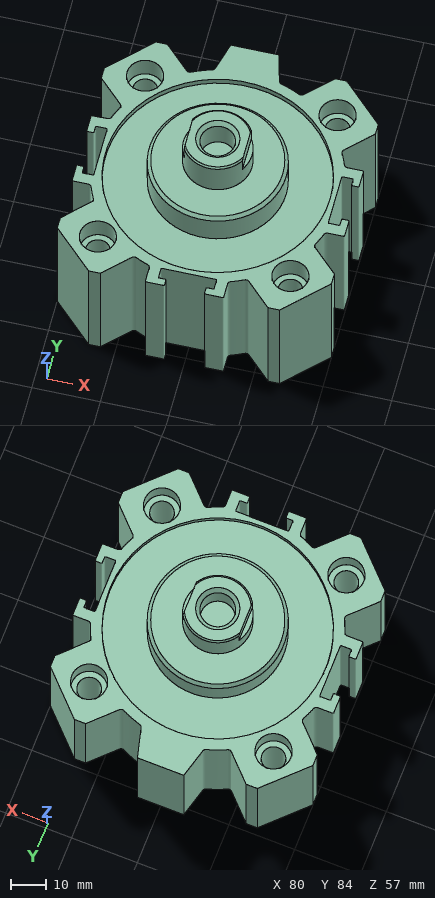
import cadquery as cq
import math

housing_height = 38.0
collar_top = 46.0
rod_top = 57.0

barrel_radius = 36.0
recess_diameter = 65.5
recess_depth = 2.0
foot_radius = 1.1

place_tolerance = 0.01

envelope_width = 80.0
lug_width = 22.0
lug_reach = 48.0
bolt_offset = 28.05
bolt_hole_diameter = 7.0
counterbore_diameter = 10.5
counterbore_depth = 7.0

rail_angles = [-90, 180, 0]
rail_reach = 39.7
rail_half_width = 11.4
slot_mouth_width = 11.7
slot_width = 16.2
slot_floor = 34.2
lip_thickness = 2.2
rail_corner_radius = 0.3

block_reach = 44.0
block_top_width = 14.1
block_side_angle = 15

collar_diameter = 40.0
collar_chamfer = 1.0

rod_diameter = 20.0
rod_chamfer = 0.5
flat_width = 17.0
flat_height = 4.8
thread_diameter = 10.1
thread_depth = 9.2
countersink_diameter = 12.5
countersink_angle = 90


def column(center_x, width_x, width_y, height=housing_height):
    """A box standing on the base, centred on the X axis."""
    return cq.Workplane("XY").center(center_x, 0).rect(width_x, width_y).extrude(height)


def turned(shape, angle):
    """The shape turned about the Z axis."""
    return shape.rotate((0, 0, 0), (0, 0, 1), angle)


def corner_lug(angle):
    """A bar along one diagonal, its end corners trimmed by the square envelope."""
    bar = turned(column(lug_reach / 2, lug_reach, lug_width), angle)
    return bar.intersect(column(0, envelope_width, envelope_width))


def rail_block():
    """The solid block that carries a T-slot, on the +X side."""
    return column(rail_reach / 2, rail_reach, 2 * rail_half_width)


def t_slot():
    """The space inside a T-slot on the +X side, open outward."""
    lip_floor = rail_reach - lip_thickness
    cavity = column((slot_floor + lip_floor) / 2, lip_floor - slot_floor, slot_width)
    cavity = cavity.edges("|Z").fillet(rail_corner_radius)
    mouth_length = rail_reach - slot_floor
    mouth = column(slot_floor + mouth_length / 2, mouth_length, slot_mouth_width)
    return cavity.union(mouth)


def lip_edges(solid, angle):
    """The upright edges at the three convex corners of each lip of one rail."""
    lip_floor = rail_reach - lip_thickness
    corners = [
        (lip_floor, slot_mouth_width / 2),
        (rail_reach, slot_mouth_width / 2),
        (rail_reach, rail_half_width),
    ]

    def on_lip_corner(edge):
        center = edge.rotate((0, 0, 0), (0, 0, 1), -angle).Center()
        return any(math.dist((center.x, abs(center.y)), corner) < place_tolerance for corner in corners)

    return solid.edges("|Z").filter(on_lip_corner)


def port_block():
    """The block on the +Y side, its sides spreading toward the barrel."""
    top = block_top_width / 2
    foot = top + block_reach * math.tan(math.radians(block_side_angle))
    outline = [(-top, block_reach), (top, block_reach), (foot, 0), (-foot, 0)]
    return cq.Workplane("XY").polyline(outline).close().extrude(housing_height)


def foot_edges(solid):
    """The upright edges where lugs, rails and block rise from the barrel."""
    return solid.edges("|Z").filter(
        lambda edge: abs(math.hypot(edge.Center().x, edge.Center().y) - barrel_radius) < place_tolerance
    )


def make_housing():
    body = cq.Workplane("XY").circle(barrel_radius).extrude(housing_height)
    for angle in range(45, 360, 90):
        body = body.union(corner_lug(angle))
    for angle in rail_angles:
        body = body.union(turned(rail_block(), angle))
    body = body.union(port_block())
    body = foot_edges(body).fillet(foot_radius)
    for angle in rail_angles:
        body = body.cut(turned(t_slot(), angle))
        body = lip_edges(body, angle).fillet(rail_corner_radius)

    recess_floor = housing_height - recess_depth
    recess = cq.Workplane("XY", (0, 0, recess_floor)).circle(recess_diameter / 2).extrude(recess_depth)
    body = body.cut(recess)
    collar = cq.Workplane("XY", (0, 0, recess_floor)).circle(collar_diameter / 2)
    collar = collar.extrude(collar_top - recess_floor)
    body = body.union(collar.faces(">Z").chamfer(collar_chamfer))

    return (
        body.copyWorkplane(cq.Workplane("XY", (0, 0, housing_height)))
        .rect(2 * bolt_offset, 2 * bolt_offset, forConstruction=True)
        .vertices()
        .cboreHole(bolt_hole_diameter, counterbore_diameter, counterbore_depth)
    )


def make_rod():
    length = rod_top - collar_top
    rod = cq.Workplane("XY", (0, 0, collar_top)).circle(rod_diameter / 2).extrude(length)
    rod = rod.faces(">Z").chamfer(rod_chamfer)

    cut_width = (rod_diameter - flat_width) / 2
    for side in (-1, 1):
        cutter = column(side * (flat_width + cut_width) / 2, cut_width, rod_diameter, flat_height)
        rod = rod.cut(cutter.translate((0, 0, rod_top - flat_height)))

    return (
        rod.copyWorkplane(cq.Workplane("XY", (0, 0, rod_top)))
        .cskHole(thread_diameter, countersink_diameter, countersink_angle, thread_depth)
    )


housing = make_housing()
rod = make_rod()

result = cq.Compound.makeCompound([housing.val(), rod.val()])